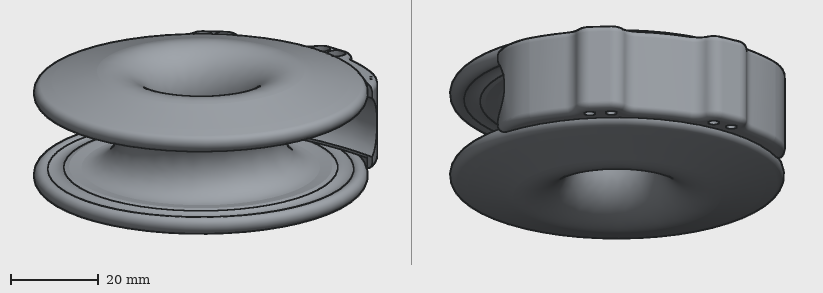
import cadquery as cq
import math

overall_length = 80.9
sheave_diameter = 76.0
sheave_height = 30.8
sheave_radius = sheave_diameter / 2
sheave_half_height = sheave_height / 2

groove_radius = 8.0
groove_floor_radius = 19.1
groove_center_radius = groove_floor_radius + groove_radius

land_outer_radius = 29.9
land_outer_height = 7.8
recess_inner_radius = 31.15
recess_outer_radius = 34.8
recess_depth = 0.65

rim_fillet = 1.95
rim_inner_height = 7.9
cone_outer_radius = 33.9
cone_outer_height = 12.5
cone_inner_radius = 26.1
cone_inner_height = 14.4
hole_radius = 20.0 / 2
mouth_radius = 10.85
mouth_edge_radius = 23.6

keeper_half_height = 10.1
keeper_fillet = 1.6
tongue_half_height = 7.7
bore_radius = 38.3
bridge_radius = 41.2
shoulder_radius = 42.15
lug_radius = 3.5
blend_radius = 4.05
inner_lug_x = 12.05
inner_lug_y = overall_length - sheave_radius - lug_radius
outer_lug_x = 16.7
outer_lug_y = 37.8
shoulder_end_x = 29.0
keeper_end_x = 33.6
keeper_end_y = 20.2
end_flat_height = 1.1

arch_height = 27.8
channel_radius = 9.3
channel_edge_height = 7.0

match_tolerance = 1e-4

lacing_hole_diameter = 2.5
counterbore_diameter = 4.2
counterbore_depth = 4.05


def point_towards(start, target, distance):
    """Point at the given distance from start on the line to target."""
    length = math.dist(start, target)
    return tuple(s + (t - s) * distance / length for s, t in zip(start, target))


def blend_centers(center, distance_from_axis, distance_from_center):
    """Both points at the given distances from the Z axis and from a lug centre, +X-most last."""
    reach = math.hypot(*center)
    along = (reach**2 + distance_from_axis**2 - distance_from_center**2) / (2 * reach)
    across = math.sqrt(distance_from_axis**2 - along**2)
    ux = center[0] / reach
    uy = center[1] / reach
    return [(along * ux + side * across * uy, along * uy - side * across * ux) for side in (-1, 1)]


def on_circle(center, radius, start, end):
    """Middle of the short arc from start to end on a circle."""
    chord_middle = ((start[0] + end[0]) / 2, (start[1] + end[1]) / 2)
    return point_towards(center, chord_middle, radius)


def make_sheave():
    mouth_center_r = hole_radius + mouth_radius
    mouth_center_z = sheave_half_height - mouth_radius
    mouth_edge_z = mouth_center_z + math.sqrt(mouth_radius**2 - (mouth_edge_radius - mouth_center_r) ** 2)
    mouth_edge = (mouth_edge_radius, mouth_edge_z)
    mouth_center = (mouth_center_r, mouth_center_z)
    mouth_start = (hole_radius, mouth_center_z)

    rim_center = (sheave_radius - rim_fillet, rim_inner_height + rim_fillet)
    to_rim_r = rim_center[0] - cone_outer_radius
    to_rim_z = cone_outer_height - rim_center[1]
    rim_slope = math.atan2(to_rim_z, to_rim_r) - math.asin(rim_fillet / math.hypot(to_rim_r, to_rim_z))
    rim_top = (
        rim_center[0] + rim_fillet * math.sin(rim_slope),
        rim_center[1] + rim_fillet * math.cos(rim_slope),
    )
    rim_end_drop = math.sqrt(rim_fillet**2 - (rim_center[0] - recess_outer_radius) ** 2)
    rim_end = (recess_outer_radius, rim_center[1] - rim_end_drop)
    recess_middle = ((recess_inner_radius + recess_outer_radius) / 2, groove_radius + recess_depth)

    upper_flank = (
        cq.Workplane("XZ")
        .moveTo(groove_center_radius, groove_radius)
        .lineTo(land_outer_radius, land_outer_height)
        .lineTo(recess_inner_radius, groove_radius)
        .threePointArc(recess_middle, rim_end)
        .threePointArc((sheave_radius, rim_center[1]), rim_top)
        .lineTo(cone_outer_radius, cone_outer_height)
        .lineTo(cone_inner_radius, cone_inner_height)
        .lineTo(*mouth_edge)
        .threePointArc(on_circle(mouth_center, mouth_radius, mouth_edge, mouth_start), mouth_start)
        .wire()
    )
    lower_flank = upper_flank.mirror("XY")
    rope_groove = (
        cq.Workplane("XZ")
        .moveTo(groove_center_radius, groove_radius)
        .threePointArc((groove_floor_radius, 0), (groove_center_radius, -groove_radius))
        .wire()
    )
    hole_wall = cq.Workplane("XZ").moveTo(*mouth_start).lineTo(hole_radius, -mouth_center_z).wire()
    pieces = [rope_groove.val(), upper_flank.val(), hole_wall.val(), lower_flank.val()]
    outline = cq.Wire.combine(pieces)[0]
    return cq.Workplane("XZ").add(outline).toPending().revolve(360, (0, 0), (0, 1))


arch_radius = (keeper_end_x**2 + (arch_height - keeper_end_y) ** 2) / (2 * (arch_height - keeper_end_y))
arch_center_y = arch_height - arch_radius


def keeper_blank():
    inner_lug = (inner_lug_x, inner_lug_y)
    outer_lug = (outer_lug_x, outer_lug_y)
    reach = lug_radius + blend_radius
    bridge_blend, _ = blend_centers(inner_lug, bridge_radius + blend_radius, reach)
    _, shoulder_blend = blend_centers(outer_lug, shoulder_radius + blend_radius, reach)

    bridge_end = point_towards((0, 0), bridge_blend, bridge_radius)
    inner_lug_start = point_towards(inner_lug, bridge_blend, lug_radius)
    span = math.dist(inner_lug, outer_lug)
    normal_x = (inner_lug_y - outer_lug_y) / span * lug_radius
    normal_y = (outer_lug_x - inner_lug_x) / span * lug_radius
    inner_lug_end = (inner_lug_x + normal_x, inner_lug_y + normal_y)
    outer_lug_start = (outer_lug_x + normal_x, outer_lug_y + normal_y)
    outer_lug_end = point_towards(outer_lug, shoulder_blend, lug_radius)
    shoulder_start = point_towards((0, 0), shoulder_blend, shoulder_radius)
    shoulder_end = (shoulder_end_x, math.sqrt(shoulder_radius**2 - shoulder_end_x**2))
    end_flat_top = (keeper_end_x, keeper_end_y + end_flat_height)
    arch_middle_x = keeper_end_x / 2
    arch_middle_y = arch_center_y + math.sqrt(arch_radius**2 - arch_middle_x**2)

    half = (
        cq.Workplane("XY", origin=(0, 0, -keeper_half_height))
        .moveTo(0, arch_height)
        .lineTo(0, bridge_radius)
        .threePointArc(on_circle((0, 0), bridge_radius, (0, bridge_radius), bridge_end), bridge_end)
        .threePointArc(on_circle(bridge_blend, blend_radius, bridge_end, inner_lug_start), inner_lug_start)
        .threePointArc(on_circle(inner_lug, lug_radius, inner_lug_start, inner_lug_end), inner_lug_end)
        .lineTo(*outer_lug_start)
        .threePointArc(on_circle(outer_lug, lug_radius, outer_lug_start, outer_lug_end), outer_lug_end)
        .threePointArc(on_circle(shoulder_blend, blend_radius, outer_lug_end, shoulder_start), shoulder_start)
        .threePointArc(on_circle((0, 0), shoulder_radius, shoulder_start, shoulder_end), shoulder_end)
        .tangentArcPoint(end_flat_top, relative=False)
        .lineTo(keeper_end_x, keeper_end_y)
        .threePointArc((arch_middle_x, arch_middle_y), (0, arch_height))
        .close()
        .extrude(2 * keeper_half_height)
    )
    return half.union(half.mirror("YZ")).clean()


def on_arch(point):
    return math.isclose(math.hypot(point.x, point.y - arch_center_y), arch_radius, rel_tol=match_tolerance)


def round_outer_edges(blank):
    face_edges = blank.faces("<Z or >Z").edges().vals()
    outer_edges = [edge for edge in face_edges if not on_arch(edge.positionAt(0.5))]
    return blank.newObject(outer_edges).fillet(keeper_fillet)


def rim_clearance():
    """Rings above and below the tongue that leave room for the sheave rims."""
    ring_height = keeper_half_height - tongue_half_height
    upper = cq.Workplane("XY", origin=(0, 0, tongue_half_height)).circle(bore_radius).extrude(ring_height)
    return upper.union(upper.mirror("XY"))


def rope_channel():
    path_radius = arch_radius - math.sqrt(channel_radius**2 - channel_edge_height**2)
    return (
        cq.Workplane("XZ", origin=(0, arch_center_y, 0))
        .center(path_radius, 0)
        .circle(channel_radius)
        .revolve(360, (-path_radius, 0), (-path_radius, 1))
    )


def make_keeper():
    lugs = [(inner_lug_x, inner_lug_y), (outer_lug_x, outer_lug_y)]
    hole_places = [(side * x, y) for side in (-1, 1) for x, y in lugs]
    return (
        round_outer_edges(keeper_blank())
        .cut(rim_clearance())
        .cut(rope_channel())
        .copyWorkplane(cq.Workplane("XY", origin=(0, 0, keeper_half_height)))
        .pushPoints(hole_places)
        .cboreHole(lacing_hole_diameter, counterbore_diameter, counterbore_depth)
    )


sheave = make_sheave()
keeper = make_keeper()
result = cq.Compound.makeCompound([sheave.val(), keeper.val()])